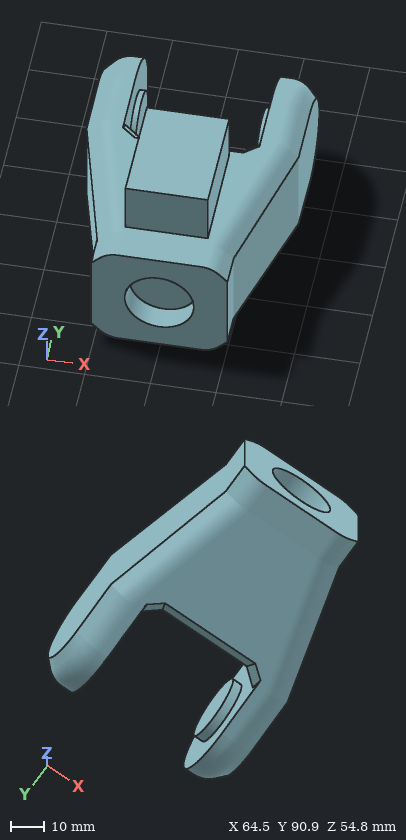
import cadquery as cq
import math

length = 90.9
fork_width = 64.5
collar_width = 41.5
collar_height = 36.1
collar_length = 9.8
flare_end = 53.1
tip_radius = 20.0
pin_axis_y = length - tip_radius


def height_at(y):
    """Body height where it tapers up from the collar to the pin axis."""
    taper = (2 * tip_radius - collar_height) / (pin_axis_y - collar_length)
    return collar_height + taper * (y - collar_length)


bevel = 2.7
edge_radius = 7.6
round_angle = math.radians(45)
round_run = edge_radius * math.sin(round_angle)
round_drop = edge_radius * (1 - math.cos(round_angle))
round_mid_run = edge_radius * math.sin(round_angle / 2)
round_mid_drop = edge_radius * (1 - math.cos(round_angle / 2))

slot_width = collar_width
throat_y = 50.35
throat_corner_x = 5.4
throat_corner_y = 4.45
throat_bevel = 3.0
throat_rim_z = height_at(throat_y - throat_bevel) / 2
slot_overrun = 0.9

block_width = 25.1
block_start = 11.8
block_end = 45.8
block_top = 34.8
pin_diameter = 20.5
left_pin_length = 1.8
right_pin_length = 3.1
socket_diameter = 21.0
socket_depth = 7.45


def draw_edge(section, half_width, half_height, turn):
    """Draw half a section: right to left over the top for turn 1, left to right below for -1."""
    flank_z = half_height - bevel - round_drop
    bevel_x = half_width - bevel
    bevel_z = half_height - round_drop
    flat_x = bevel_x - round_run
    mid_x = flat_x + round_mid_run
    mid_z = half_height - round_mid_drop
    return (
        section.lineTo(turn * half_width, turn * flank_z)
        .lineTo(turn * bevel_x, turn * bevel_z)
        .threePointArc((turn * mid_x, turn * mid_z), (turn * flat_x, turn * half_height))
        .lineTo(-turn * flat_x, turn * half_height)
        .threePointArc((-turn * mid_x, turn * mid_z), (-turn * bevel_x, turn * bevel_z))
        .lineTo(-turn * half_width, turn * flank_z)
    )


def section_plane(y):
    """Workplane across the body with its local axes along X and Z."""
    return cq.Workplane(cq.Plane(origin=(0, y, 0), xDir=(1, 0, 0), normal=(0, -1, 0)))


def body_section(y, width, height):
    """Closed wire of the cross-section at a given Y."""
    lower_flank_z = bevel + round_drop - height / 2
    section = section_plane(y).moveTo(width / 2, lower_flank_z)
    section = draw_edge(section, width / 2, height / 2, 1)
    section = draw_edge(section, width / 2, height / 2, -1)
    return section.wire().val()


def make_body():
    """Straight-sided stretches from collar to arms, closed by a half-turn tip."""
    sections = [
        body_section(0, collar_width, collar_height),
        body_section(collar_length, collar_width, collar_height),
        body_section(flare_end, fork_width, height_at(flare_end)),
        body_section(pin_axis_y, fork_width, 2 * tip_radius),
    ]
    stretches = cq.Workplane(cq.Solid.makeLoft(sections, True))
    tip = (
        draw_edge(section_plane(pin_axis_y).moveTo(fork_width / 2, 0), fork_width / 2, tip_radius, 1)
        .lineTo(-fork_width / 2, 0)
        .close()
        .revolve(360, (0, 0, 0), (1, 0, 0))
    )
    front_half = cq.Workplane("XY").box(
        fork_width, tip_radius, 2 * tip_radius, centered=(True, False, True)
    ).translate((0, pin_axis_y - tip_radius, 0))
    return stretches.union(tip.cut(front_half))


def throat_outline(offset, z):
    """Slot plan with cut corners; floor and corners are moved outward by the offset."""
    half = slot_width / 2
    corner_angle = math.atan2(throat_corner_y, throat_corner_x)
    floor_y = throat_y - offset
    floor_half = half - throat_corner_x + offset * math.tan(corner_angle / 2)
    wall_y = throat_y + throat_corner_y - offset / math.cos(corner_angle)
    return (
        cq.Workplane("XY")
        .workplane(offset=z)
        .moveTo(-half, length + slot_overrun)
        .lineTo(-half, wall_y)
        .lineTo(-floor_half, floor_y)
        .lineTo(floor_half, floor_y)
        .lineTo(half, wall_y)
        .lineTo(half, length + slot_overrun)
        .close()
    )


def make_throat():
    """Through slot whose floor has 45 degree bevels at the top and bottom of the body."""
    throat = throat_outline(0, -tip_radius).extrude(2 * tip_radius)
    bevel_start = throat_rim_z - throat_bevel
    bevel_reach = tip_radius - bevel_start
    for sign in (1, -1):
        inner = throat_outline(0, sign * bevel_start).val()
        outer = throat_outline(bevel_reach, sign * tip_radius).val()
        throat = throat.union(cq.Workplane(cq.Solid.makeLoft([inner, outer], True)))
    return throat


def make_pin(side, pin_length):
    """Pin standing inward from one arm; side is -1 for left and 1 for right."""
    return (
        cq.Workplane("YZ")
        .workplane(offset=side * slot_width / 2)
        .center(pin_axis_y, 0)
        .circle(pin_diameter / 2)
        .extrude(-side * pin_length)
    )


block = cq.Workplane("XY").box(
    block_width, block_end - block_start, block_top, centered=(True, False, False)
).translate((0, block_start, 0))
socket = cq.Workplane("XZ").circle(socket_diameter / 2).extrude(-socket_depth)

result = (
    make_body()
    .cut(make_throat())
    .union(block)
    .cut(socket)
    .union(make_pin(-1, left_pin_length))
    .union(make_pin(1, right_pin_length))
)